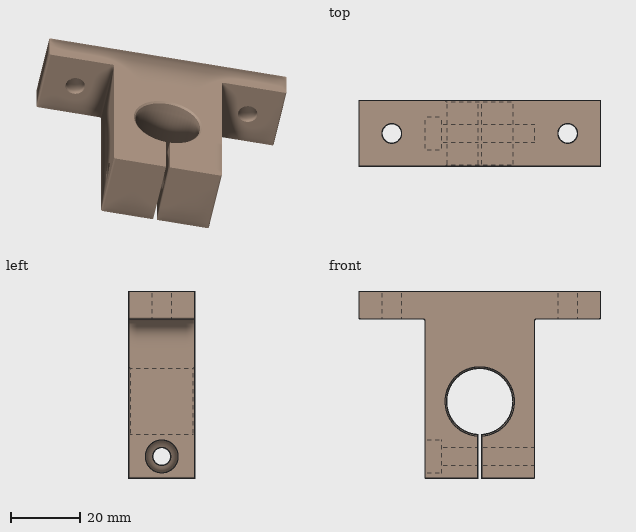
import cadquery as cq

width = 69.85
depth = 19.1
height = 54.0

flange_thickness = 7.95
body_width = 31.7
edge_radius = 0.5

bore_diameter = 19.1
bore_chamfer = 0.5
bore_z = height - 31.8
slit_width = 1.1

mount_hole_diameter = 5.6
mount_hole_spacing = 50.8

screw_z = 6.35
screw_hole_diameter = 5.1
counterbore_diameter = 9.5
counterbore_depth = 4.75

flange_bottom = height - flange_thickness


def make_body():
    """Flange on top of an upright block, with softened lower edges and inner corners."""
    block = cq.Workplane("XY").box(body_width, depth, height, centered=(True, True, False))
    flange = (
        cq.Workplane("XY")
        .workplane(offset=flange_bottom)
        .box(width, depth, flange_thickness, centered=(True, True, False))
    )
    top_edges = cq.selectors.BoxSelector(
        (-width, -depth, height - edge_radius), (width, depth, height + edge_radius)
    )
    return block.union(flange).edges(cq.selectors.SubtractSelector(
        cq.StringSyntaxSelector("|Y"), top_edges
    )).fillet(edge_radius)


def make_bore():
    """Shaft bore along Y with a chamfer at each mouth."""
    bore_radius = bore_diameter / 2
    mouth_radius = bore_radius + bore_chamfer
    half_depth = depth / 2
    return (
        cq.Workplane("XY")
        .moveTo(0, -half_depth)
        .lineTo(mouth_radius, -half_depth)
        .lineTo(bore_radius, -half_depth + bore_chamfer)
        .lineTo(bore_radius, half_depth - bore_chamfer)
        .lineTo(mouth_radius, half_depth)
        .lineTo(0, half_depth)
        .close()
        .revolve(360, (0, 0, 0), (0, 1, 0))
        .translate((0, 0, bore_z))
    )


def make_slit():
    """Slit from the bottom face up into the bore."""
    return cq.Workplane("XY").box(slit_width, depth, bore_z, centered=(True, True, False))


def make_mount_holes():
    """Pair of vertical holes through the flange."""
    half_spacing = mount_hole_spacing / 2
    return (
        cq.Workplane("XY")
        .workplane(offset=flange_bottom)
        .pushPoints([(-half_spacing, 0), (half_spacing, 0)])
        .circle(mount_hole_diameter / 2)
        .extrude(flange_thickness)
    )


def make_screw_hole():
    """Clamp screw hole along X, counterbored for the head on the -X side."""
    start = cq.Workplane("YZ", origin=(-body_width / 2, 0, screw_z))
    shank = start.circle(screw_hole_diameter / 2).extrude(body_width)
    head = start.circle(counterbore_diameter / 2).extrude(counterbore_depth)
    return shank.union(head)


result = (
    make_body()
    .cut(make_bore())
    .cut(make_slit())
    .cut(make_mount_holes())
    .cut(make_screw_hole())
)